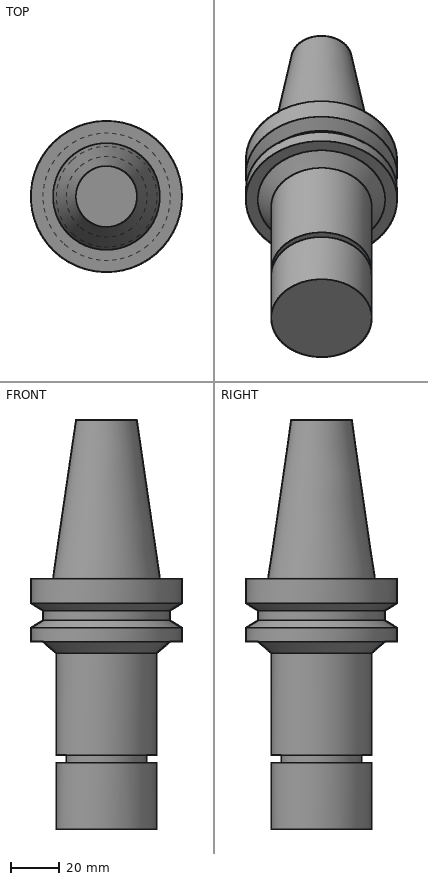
import cadquery as cq

TOTAL_LENGTH = 170.4

TAPER_TIP_DIAMETER = 25.4
TAPER_BASE_DIAMETER = 44.5
FLANGE_DIAMETER = 63.0
GROOVE_DIAMETER = 53.0
SHANK_DIAMETER = 42.0
NECK_DIAMETER = 33.5

NUT_HEIGHT = 27.8
NECK_LENGTH = 3.0
SHANK_LENGTH = 42.5
SHOULDER_LENGTH = 4.8
LOWER_RIM_LENGTH = 5.8
GROOVE_FLANK_LENGTH = 3.0
GROOVE_FLOOR_LENGTH = 4.1
UPPER_RIM_LENGTH = 10.2
TAPER_LENGTH = 65.5

shank_bottom = NUT_HEIGHT + NECK_LENGTH
shoulder_bottom = shank_bottom + SHANK_LENGTH
flange_bottom = shoulder_bottom + SHOULDER_LENGTH
groove_bottom = flange_bottom + LOWER_RIM_LENGTH
groove_floor_bottom = groove_bottom + GROOVE_FLANK_LENGTH
groove_floor_top = groove_floor_bottom + GROOVE_FLOOR_LENGTH
groove_top = groove_floor_top + GROOVE_FLANK_LENGTH
flange_top = groove_top + UPPER_RIM_LENGTH
taper_bottom = TOTAL_LENGTH - TAPER_LENGTH

SHOULDER_TOP_DIAMETER = GROOVE_DIAMETER


def make_clamping_nut():
    """Plain round nut at the bottom of the holder."""
    return cq.Workplane("XY").circle(SHANK_DIAMETER / 2).extrude(NUT_HEIGHT)


def make_holder():
    """Neck, shank, grooved flange and taper, turned about Z as one solid."""
    steps = [
        (NECK_DIAMETER, NUT_HEIGHT),
        (NECK_DIAMETER, shank_bottom),
        (SHANK_DIAMETER, shank_bottom),
        (SHANK_DIAMETER, shoulder_bottom),
        (SHOULDER_TOP_DIAMETER, flange_bottom),
        (FLANGE_DIAMETER, flange_bottom),
        (FLANGE_DIAMETER, groove_bottom),
        (GROOVE_DIAMETER, groove_floor_bottom),
        (GROOVE_DIAMETER, groove_floor_top),
        (FLANGE_DIAMETER, groove_top),
        (FLANGE_DIAMETER, flange_top),
        (TAPER_BASE_DIAMETER, flange_top),
        (TAPER_BASE_DIAMETER, taper_bottom),
        (TAPER_TIP_DIAMETER, TOTAL_LENGTH),
    ]
    outline = [(0, NUT_HEIGHT)]
    outline += [(diameter / 2, height) for diameter, height in steps]
    outline += [(0, TOTAL_LENGTH)]
    return cq.Workplane("XZ").polyline(outline).close().revolve(360, (0, 0, 0), (0, 1, 0))


clamping_nut = make_clamping_nut()
holder = make_holder()

result = cq.Compound.makeCompound([clamping_nut.val(), holder.val()])